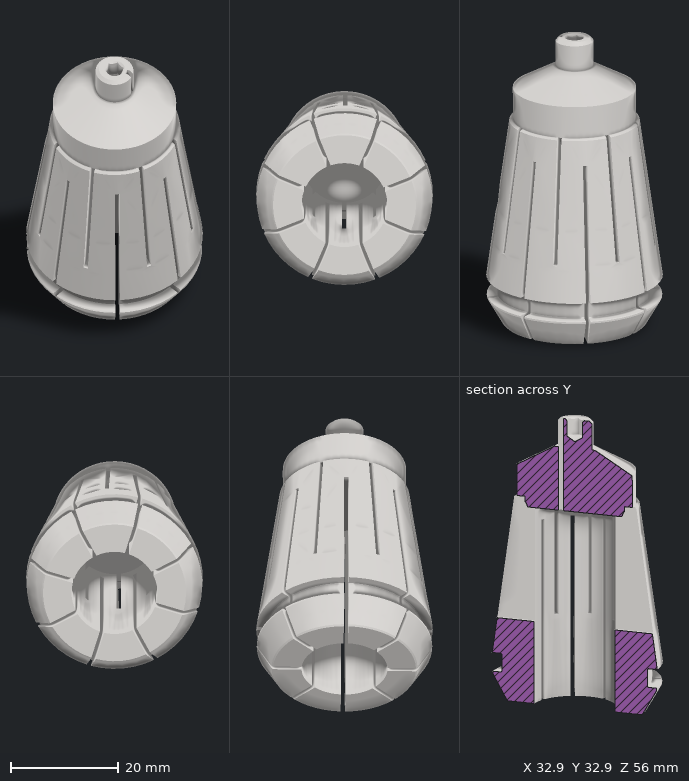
import cadquery as cq
import math


TOTAL_HEIGHT = 56.0
NOSE_CONE_TOP = 5.05
FLANGE_TOP = 5.55
GROOVE_TOP = 9.1
BORE_TOP = 38.0
SHOULDER = 40.05
HUB_TOP = 46.2
HUB_CONE_TOP = 50.45

BODY_RADIUS = 16.45
FLANGE_RADIUS = 16.35
GROOVE_RADIUS = 14.5
HUB_RADIUS = 23.0 / 2
HUB_CONE_TOP_RADIUS = 4.05
SCREW_RADIUS = 3.5

BODY_TAPER = math.tan(math.radians(8))
NOSE_TAPER = math.tan(math.radians(30))
SHOULDER_CHAMFER = 0.35
FLANGE_CHAMFER = 0.15
GROOVE_ROOT_CHAMFER = 0.15
NOSE_CHAMFER = 0.3
SCREW_CHAMFER = 0.6

BORE_RADIUS = 16.0 / 2
SLIT_COUNT = 8
SLIT_WIDTH = 0.85
HUB_SLIT_BOTTOM = 16.0
NOSE_SLIT_TOP = 35.0
PLUG_RADIUS = 19.8 / 2
PLUG_NECK_RADIUS = 19.5 / 2
PLUG_TIP_RADIUS = 18.8 / 2
PLUG_TAPER_TOP = 38.9
PLUG_CYLINDER_BOTTOM = 39.1

SOCKET_ACROSS_FLATS = 3.0
SOCKET_DEPTH = 3.35
SOCKET_MOUTH_RADIUS = 1.9
DRILL_HALF_ANGLE = 59
KEYWAY_WIDTH = 1.0
KEYWAY_FLOOR_RADIUS = 2.3
SCREW_HOLE_RADIUS = 3.15


def revolve(profile):
    """Turn a closed (radius, height) outline about the Z axis."""
    return cq.Workplane("XZ").polyline(profile).close().revolve(360, (0, 0, 0), (0, 1, 0))


def outer_body():
    shoulder_edge = SHOULDER - SHOULDER_CHAMFER
    body_top_radius = BODY_RADIUS - (shoulder_edge - GROOVE_TOP) * BODY_TAPER
    nose_edge_radius = FLANGE_RADIUS - (NOSE_CONE_TOP - NOSE_CHAMFER) * NOSE_TAPER
    return revolve([
        (0, 0),
        (nose_edge_radius - NOSE_CHAMFER, 0),
        (nose_edge_radius, NOSE_CHAMFER),
        (FLANGE_RADIUS, NOSE_CONE_TOP),
        (FLANGE_RADIUS, FLANGE_TOP - FLANGE_CHAMFER),
        (FLANGE_RADIUS - FLANGE_CHAMFER, FLANGE_TOP),
        (GROOVE_RADIUS + GROOVE_ROOT_CHAMFER, FLANGE_TOP),
        (GROOVE_RADIUS, FLANGE_TOP + GROOVE_ROOT_CHAMFER),
        (GROOVE_RADIUS, GROOVE_TOP - GROOVE_ROOT_CHAMFER),
        (GROOVE_RADIUS + GROOVE_ROOT_CHAMFER, GROOVE_TOP),
        (BODY_RADIUS, GROOVE_TOP),
        (body_top_radius, shoulder_edge),
        (body_top_radius - SHOULDER_CHAMFER, SHOULDER),
        (HUB_RADIUS, SHOULDER),
        (HUB_RADIUS, HUB_TOP),
        (HUB_CONE_TOP_RADIUS, HUB_CONE_TOP),
        (SCREW_RADIUS, HUB_CONE_TOP),
        (SCREW_RADIUS, TOTAL_HEIGHT - SCREW_CHAMFER),
        (SCREW_RADIUS - SCREW_CHAMFER, TOTAL_HEIGHT),
        (0, TOTAL_HEIGHT),
    ])


def bore():
    return cq.Workplane("XY").circle(BORE_RADIUS).extrude(BORE_TOP)


def slits(bottom, top, first_angle):
    """Equally spaced slits that run from the axis out through the wall."""
    blade = cq.Workplane("XY").box(
        BODY_RADIUS, SLIT_WIDTH, top - bottom, centered=(False, True, False)
    ).translate((0, 0, bottom))
    pitch = 360 / SLIT_COUNT
    blades = blade.rotate((0, 0, 0), (0, 0, 1), first_angle)
    for index in range(1, SLIT_COUNT):
        blades = blades.union(blade.rotate((0, 0, 0), (0, 0, 1), first_angle + index * pitch))
    return blades


def hub_slits():
    """Slits open at the shoulder that leave the tapered plug of the hub whole."""
    plug = revolve([
        (0, BORE_TOP),
        (PLUG_TIP_RADIUS, BORE_TOP),
        (PLUG_NECK_RADIUS, PLUG_TAPER_TOP),
        (PLUG_RADIUS, PLUG_CYLINDER_BOTTOM),
        (PLUG_RADIUS, SHOULDER),
        (0, SHOULDER),
    ])
    return slits(HUB_SLIT_BOTTOM, SHOULDER, 0).cut(plug)


def nose_slits():
    """Slits open at the nose, halfway between the hub slits."""
    return slits(0, NOSE_SLIT_TOP, 180 / SLIT_COUNT)


def screw_socket():
    """Hexagon with two flats square to X, a countersunk mouth and a drilled conical bottom."""
    flat_radius = SOCKET_ACROSS_FLATS / 2
    corner_radius = flat_radius / math.cos(math.radians(30))
    floor = TOTAL_HEIGHT - SOCKET_DEPTH
    drill_tip = floor - flat_radius / math.tan(math.radians(DRILL_HALF_ANGLE))
    mouth_bottom = TOTAL_HEIGHT - (SOCKET_MOUTH_RADIUS - flat_radius)
    hexagon = (
        cq.Workplane("XY", origin=(0, 0, floor))
        .polygon(6, 2 * corner_radius)
        .extrude(SOCKET_DEPTH)
        .rotate((0, 0, 0), (0, 0, 1), 30)
    )
    turned = revolve([
        (0, drill_tip),
        (flat_radius, floor),
        (flat_radius, mouth_bottom),
        (SOCKET_MOUTH_RADIUS, TOTAL_HEIGHT),
        (0, TOTAL_HEIGHT),
    ])
    return hexagon.union(turned)


def keyway_slot(outer_radius, bottom, top):
    return cq.Workplane("XY").box(
        outer_radius - KEYWAY_FLOOR_RADIUS, KEYWAY_WIDTH, top - bottom, centered=(False, True, False)
    ).translate((KEYWAY_FLOOR_RADIUS, 0, bottom))


def keyway():
    """Slot along the +X side of the screw, shallower where the hub surrounds it."""
    in_hub = keyway_slot(SCREW_HOLE_RADIUS, BORE_TOP, HUB_CONE_TOP)
    above_hub = keyway_slot(SCREW_RADIUS, HUB_CONE_TOP, TOTAL_HEIGHT)
    return in_hub.union(above_hub)


result = (
    outer_body()
    .cut(bore())
    .cut(hub_slits())
    .cut(nose_slits())
    .cut(screw_socket())
    .cut(keyway())
)